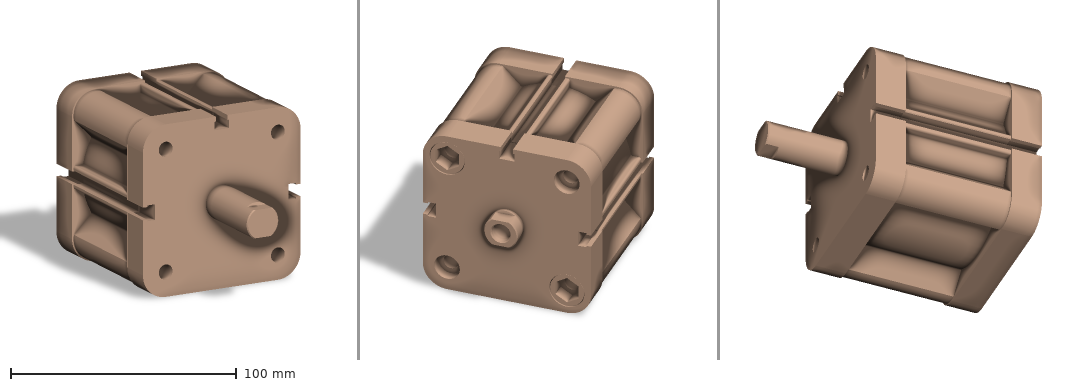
import cadquery as cq
import math


SIDE = 79.5
CORNER_RADIUS = 11.5
HOUSING_START = -54.9
CAP_THICKNESS = 14.5
BARREL_LENGTH = 50.9
TUBE_RADIUS = 34.6
LOBE_INSET = 0.8
WEB_WIDTH = 17.6
WEB_ANGLES = (-135, -45, 45, 135)
ROOT_FILLET = 0.8
TOLERANCE = 0.001

RIB_INSET = 0.8
RIB_WIDTH = 10.7
RIB_SHOULDER_RADIUS = 1.1
MOUTH_WIDTH = 5.8
MOUTH_BEVEL = 0.4
LIP_DEPTH = 2.3
CAP_SLOT_WIDTH = 7.3
CAP_SLOT_DEPTH = 6.2
BARREL_SLOT_WIDTH = 6.5
BARREL_SLOT_DEPTH = 5.8
SLOT_ANGLES = (-90, 0, 90)

THROUGH_DIAMETER = 6.9
COUNTERBORE_DIAMETER = 12.1
COUNTERBORE_DEPTH = 5.0
SCREW_DIAMETER = 16.0
RECESS_DIAMETER = 16.6
SCREW_SETBACK = 0.4
SCREW_LENGTH = 10.1
SOCKET_ACROSS_FLATS = 11.0
SOCKET_DEPTH = 6.5

ROD_DIAMETER = 16.0
ROD_LENGTH = 126.0
ROD_CHAMFER = 0.5
FLATS_WIDTH = 13.0
FLATS_LENGTH = 6.2
FLATS_RUNOUT = 0.4
THREAD_DIAMETER = 8.7
THREAD_DEPTH = 20.2
THREAD_CHAMFER = 0.5
DRILL_TIP_ANGLE = 118.0

HALF = SIDE / 2
SCREW_START = HOUSING_START + SCREW_SETBACK
BARREL_START = HOUSING_START + CAP_THICKNESS
REAR_CAP_START = BARREL_START + BARREL_LENGTH
HOUSING_LENGTH = BARREL_LENGTH + 2 * CAP_THICKNESS
HOLE_OFFSET = HALF - CORNER_RADIUS
CORNER_HOLES = [(y, z) for y in (-HOLE_OFFSET, HOLE_OFFSET) for z in (-HOLE_OFFSET, HOLE_OFFSET)]
SCREW_HOLES = [(y, z) for y, z in CORNER_HOLES if y * z > 0]
PLAIN_HOLES = [(y, z) for y, z in CORNER_HOLES if y * z < 0]


def section_at(x):
    """Workplane across the rod axis: its first axis is Y and its second is Z."""
    return cq.Workplane("YZ", origin=(x, 0, 0))


def turned(shape, angle):
    """The shape turned about the rod axis."""
    return shape.rotate((0, 0, 0), (1, 0, 0), angle)


def is_on_tube(edge):
    """Whether an edge along X lies on the outer surface of the tube."""
    middle = edge.Center()
    return math.isclose(math.hypot(middle.y, middle.z), TUBE_RADIUS, abs_tol=TOLERANCE)


def make_cap(x):
    """Square end cap with rounded corners."""
    return section_at(x).rect(SIDE, SIDE).extrude(CAP_THICKNESS).edges("|X").fillet(CORNER_RADIUS)


def make_rib(angle):
    """Rib that carries a sensor slot, standing on the tube at an angle from the top."""
    height = HALF - RIB_INSET
    rib = section_at(BARREL_START).center(0, height / 2).rect(RIB_WIDTH, height).extrude(BARREL_LENGTH)
    return turned(rib.edges("|X and >Z").fillet(RIB_SHOULDER_RADIUS), angle)


def make_web(angle):
    """Web from the rod axis to a corner, with its end rounded about the corner hole."""
    half_width = WEB_WIDTH / 2
    end_radius = CORNER_RADIUS - LOBE_INSET
    hole_distance = math.hypot(HOLE_OFFSET, HOLE_OFFSET)
    side_length = hole_distance + math.sqrt(end_radius**2 - half_width**2)
    web = (
        section_at(BARREL_START)
        .moveTo(-half_width, 0)
        .lineTo(half_width, 0)
        .lineTo(half_width, side_length)
        .threePointArc((0, hole_distance + end_radius), (-half_width, side_length))
        .close()
        .extrude(BARREL_LENGTH)
    )
    return turned(web, angle)


def make_barrel():
    """Tube with four diagonal webs and three slot ribs."""
    barrel = turned(section_at(BARREL_START).circle(TUBE_RADIUS).extrude(BARREL_LENGTH), 45)
    for angle in SLOT_ANGLES:
        barrel = barrel.union(make_rib(angle))
    for angle in WEB_ANGLES:
        barrel = barrel.union(make_web(angle))

    roots = [edge for edge in barrel.edges("|X").vals() if is_on_tube(edge)]
    return barrel.newObject(roots).fillet(ROOT_FILLET)


def make_slot(x, length, width, depth):
    """Cutter for a T slot that is open through the top face."""
    start = section_at(x).center(0, HALF)
    mouth = start.rect(MOUTH_WIDTH, 2 * depth).extrude(length)
    chamber = start.rect(width, 2 * depth).extrude(length)
    lips = start.rect(width, 2 * LIP_DEPTH).extrude(length)
    return mouth.union(chamber.cut(lips))


def make_mouth_flare():
    """Cutter that bevels the outer edges of the barrel's slot mouth."""
    crest = HALF - RIB_INSET
    half_mouth = MOUTH_WIDTH / 2
    return (
        section_at(BARREL_START)
        .moveTo(-half_mouth - MOUTH_BEVEL, crest)
        .lineTo(half_mouth + MOUTH_BEVEL, crest)
        .lineTo(half_mouth, crest - MOUTH_BEVEL)
        .lineTo(-half_mouth, crest - MOUTH_BEVEL)
        .close()
        .extrude(BARREL_LENGTH)
    )


def make_housing():
    """Two caps and the barrel as one block, with slots, rod bore and corner holes."""
    housing = make_cap(HOUSING_START).union(make_barrel()).union(make_cap(REAR_CAP_START))

    slot_cutters = [
        make_slot(HOUSING_START, CAP_THICKNESS, CAP_SLOT_WIDTH, CAP_SLOT_DEPTH),
        make_slot(BARREL_START, BARREL_LENGTH, BARREL_SLOT_WIDTH, BARREL_SLOT_DEPTH),
        make_mouth_flare(),
        make_slot(REAR_CAP_START, CAP_THICKNESS, CAP_SLOT_WIDTH, CAP_SLOT_DEPTH),
    ]
    for angle in SLOT_ANGLES:
        for cutter in slot_cutters:
            housing = housing.cut(turned(cutter, angle))

    front = section_at(HOUSING_START)
    housing = housing.cut(front.circle(ROD_DIAMETER / 2).extrude(HOUSING_LENGTH))
    through_holes = front.pushPoints(CORNER_HOLES).circle(THROUGH_DIAMETER / 2)
    housing = housing.cut(through_holes.extrude(HOUSING_LENGTH))
    counterbores = front.pushPoints(PLAIN_HOLES).circle(COUNTERBORE_DIAMETER / 2)
    housing = housing.cut(counterbores.extrude(COUNTERBORE_DEPTH))
    recesses = front.pushPoints(SCREW_HOLES).circle(RECESS_DIAMETER / 2)
    return housing.cut(recesses.extrude(SCREW_SETBACK + SCREW_LENGTH))


def make_flat_cutter():
    """Cutter for the upper spanner flat at the -X end, with a sloping shoulder."""
    end = -ROD_LENGTH / 2
    surface = ROD_DIAMETER / 2
    return (
        cq.Workplane("XZ")
        .moveTo(end, FLATS_WIDTH / 2)
        .lineTo(end + FLATS_LENGTH, FLATS_WIDTH / 2)
        .lineTo(end + FLATS_LENGTH + FLATS_RUNOUT, surface)
        .lineTo(end, surface)
        .close()
        .extrude(surface, both=True)
    )


def make_rod():
    """Round rod with spanner flats at both ends and a drilled thread hole in the -X end."""
    start = -ROD_LENGTH / 2
    rod = section_at(start).circle(ROD_DIAMETER / 2).extrude(ROD_LENGTH)
    rod = rod.faces("<X or >X").chamfer(ROD_CHAMFER)

    for end in (0, 180):
        for side in (0, 180):
            cutter = turned(make_flat_cutter(), side)
            rod = rod.cut(cutter.rotate((0, 0, 0), (0, 0, 1), end))

    radius = THREAD_DIAMETER / 2
    tip_length = radius / math.tan(math.radians(DRILL_TIP_ANGLE / 2))
    drill = (
        cq.Workplane("XY")
        .moveTo(start, 0)
        .lineTo(start, radius + THREAD_CHAMFER)
        .lineTo(start + THREAD_CHAMFER, radius)
        .lineTo(start + THREAD_DEPTH, radius)
        .lineTo(start + THREAD_DEPTH + tip_length, 0)
        .close()
        .revolve(360, (0, 0, 0), (1, 0, 0))
    )
    return rod.cut(drill)


def make_screw(y, z):
    """Hollow round screw with a hexagon socket, sunk into the -X cap."""
    front = section_at(SCREW_START).center(y, z)
    screw = front.circle(SCREW_DIAMETER / 2).circle(THROUGH_DIAMETER / 2).extrude(SCREW_LENGTH)
    across_corners = SOCKET_ACROSS_FLATS / math.cos(math.radians(30))
    socket = cq.Workplane("YZ").polygon(6, across_corners).extrude(SOCKET_DEPTH)
    return screw.cut(turned(socket, 90).translate((SCREW_START, y, z)))


housing = make_housing()
rod = make_rod()
screws = [make_screw(y, z) for y, z in SCREW_HOLES]

result = cq.Compound.makeCompound([housing.val(), rod.val(), *[screw.val() for screw in screws]])